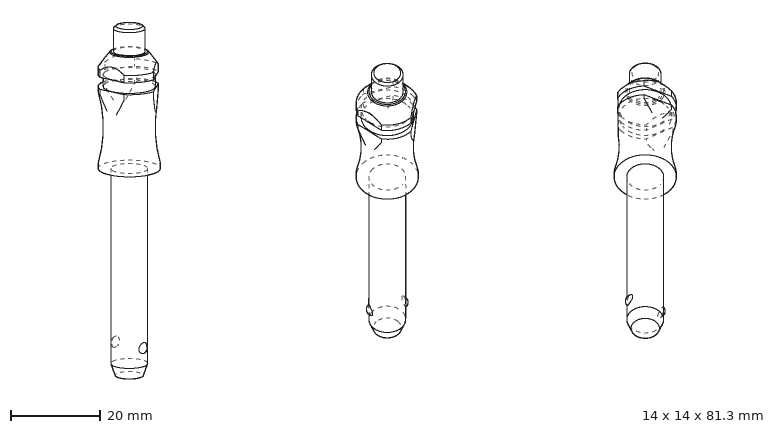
import cadquery as cq
import math

overall_length = 81.3
tip_height = 2.8
ball_height = 7.1
handle_bottom = 48.1
handle_top = 67.2
handle_rim = 1.2
collar_bottom = 70.0
cone_bottom = 71.7
cone_top = 74.4
lip_bottom = 75.2
collar_top = 75.4

tip_radius = 3.2
shank_radius = 4.15
handle_radius = 7.0
waist_radius = 5.85
crown_radius = 5.0
lip_radius = 4.4
crown_top_radius = 4.1
button_radius = 3.6
ball_radius = 1.5

button_chamfer = 0.6
ball_reach = 4.9
flat_count = 3
flat_half_angle = 30.0
flat_distance = handle_radius * math.cos(math.radians(flat_half_angle))
first_flat_angle = -90.0


def make_turned_body():
    """Revolve the shank, waisted handle, collar and button."""
    arc_bottom = handle_bottom + handle_rim
    arc_top = handle_top - handle_rim
    waist_height = (arc_bottom + arc_top) / 2
    half_height = arc_top - waist_height
    waist_depth = handle_radius - waist_radius
    waist_curve = (half_height**2 + waist_depth**2) / (2 * waist_depth)
    return (
        cq.Workplane("XZ")
        .lineTo(tip_radius, 0)
        .lineTo(shank_radius, tip_height)
        .lineTo(shank_radius, handle_bottom)
        .lineTo(handle_radius, handle_bottom)
        .lineTo(handle_radius, arc_bottom)
        .radiusArc((waist_radius, waist_height), waist_curve)
        .radiusArc((handle_radius, arc_top), waist_curve)
        .lineTo(handle_radius, handle_top)
        .lineTo(waist_radius, handle_top)
        .lineTo(waist_radius, collar_bottom)
        .lineTo(handle_radius, collar_bottom)
        .lineTo(handle_radius, cone_bottom)
        .lineTo(crown_radius, cone_top)
        .lineTo(lip_radius, lip_bottom)
        .lineTo(crown_top_radius, collar_top)
        .lineTo(button_radius, collar_top)
        .lineTo(button_radius, overall_length - button_chamfer)
        .lineTo(button_radius - button_chamfer, overall_length)
        .lineTo(0, overall_length)
        .close()
        .revolve(360, (0, 0, 0), (0, 1, 0))
    )


def make_flat_cutter(angle):
    """Block that removes everything beyond one flat of the collar and upper handle."""
    waist_height = (handle_bottom + handle_top) / 2
    return (
        cq.Workplane("XY")
        .workplane(offset=waist_height)
        .center(flat_distance + handle_radius / 2, 0)
        .rect(handle_radius, 2 * handle_radius)
        .extrude(collar_top - waist_height)
        .rotate((0, 0, 0), (0, 0, 1), angle)
    )


def make_ball(side):
    """Locking ball standing partly out of the shank on the +X or -X side."""
    center_distance = ball_reach - ball_radius
    return cq.Workplane("XY").sphere(ball_radius).translate((side * center_distance, 0, ball_height))


result = make_turned_body()

for index in range(flat_count):
    result = result.cut(make_flat_cutter(first_flat_angle + index * 360 / flat_count))

for side in (-1, 1):
    result = result.union(make_ball(side))